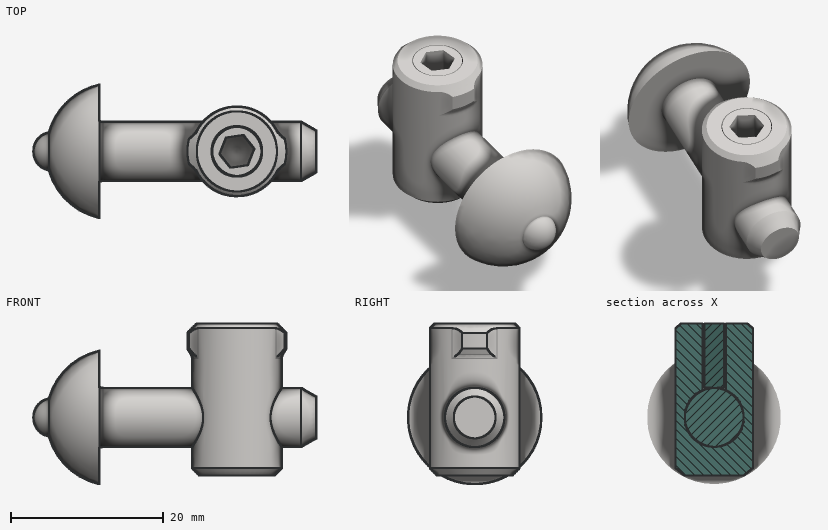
import cadquery as cq
import math


shank_diameter = 7.8
shank_end_x = 10.43
tip_length = 2.0
tip_angle = 30
flare_diameter = 8.0
flare_length = 0.45

head_sphere_radius = 9.0
head_centre_x = -16.05
head_face_x = -18.05

ball_diameter = 5.1
ball_tip_x = -26.75

barrel_diameter = 11.8
barrel_height = 20.0
barrel_top_z = 12.35
barrel_bottom_z = barrel_top_z - barrel_height
barrel_bottom_chamfer = 1.0
barrel_top_radius = 5.27

ear_radius = 6.5
ear_half_width = 1.65
ear_root_angle = 30
ear_lower_z = 9.05
ear_lower_angle = 30
ear_root_fillet = 1.0

screw_hole_diameter = 6.65
screw_diameter = 6.45
screw_bottom_z = shank_diameter / 2
hex_across_flats = 4.0
hex_turn = 8.5
hex_depth = 4.0
hex_point_angle = 120


def turned_about_x(profile):
    return profile.close().revolve(360, (0, 0, 0), (1, 0, 0))


def turned_about_z(profile):
    return profile.close().revolve(360, (0, 0, 0), (0, 1, 0))


def make_shank():
    radius = shank_diameter / 2
    flare_radius = flare_diameter / 2
    tip_radius = radius - tip_length * math.tan(math.radians(tip_angle))
    flare_end_x = head_face_x + flare_length
    return turned_about_x(
        cq.Workplane("XY")
        .moveTo(shank_end_x, 0)
        .lineTo(shank_end_x, tip_radius)
        .lineTo(shank_end_x - tip_length, radius)
        .lineTo(flare_end_x, radius)
        .tangentArcPoint((head_face_x, flare_radius), relative=False)
        .lineTo(head_face_x, 0)
    )


def make_ball():
    radius = ball_diameter / 2
    return turned_about_x(
        cq.Workplane("XY")
        .moveTo(ball_tip_x, 0)
        .threePointArc((ball_tip_x + radius, radius), (ball_tip_x + ball_diameter, 0))
    )


def make_head(ball):
    face_radius = math.sqrt(head_sphere_radius**2 - (head_face_x - head_centre_x) ** 2)
    half_way = head_sphere_radius * math.sqrt(0.5)
    dome = turned_about_x(
        cq.Workplane("XY")
        .moveTo(head_centre_x - head_sphere_radius, 0)
        .threePointArc((head_centre_x - half_way, half_way), (head_face_x, face_radius))
        .lineTo(head_face_x, 0)
    )
    return dome.cut(ball)


def make_ear():
    """The +X ear: an outer arc in plan, joined to the barrel by concave arcs tangent to the barrel."""
    barrel_radius = barrel_diameter / 2
    root_angle = math.radians(ear_root_angle)
    root = (barrel_radius * math.cos(root_angle), barrel_radius * math.sin(root_angle))
    corner = (math.sqrt(ear_radius**2 - ear_half_width**2), ear_half_width)
    barrel_tangent = cq.Vector(math.sin(root_angle), -math.cos(root_angle))
    blend = cq.Edge.makeTangentArc(cq.Vector(*root), barrel_tangent, cq.Vector(*corner))
    blend_middle = blend.positionAt(0.5)
    plan = (
        cq.Workplane("XY")
        .lineTo(*root)
        .threePointArc((blend_middle.x, blend_middle.y), corner)
        .threePointArc((ear_radius, 0), (corner[0], -corner[1]))
        .threePointArc((blend_middle.x, -blend_middle.y), (root[0], -root[1]))
        .close()
    )
    return plan.extrude(barrel_top_z)


def make_ear_envelope():
    """Turned shape that trims the ears: a cone above, a steeper cone with a concave root fillet below."""
    radius = barrel_diameter / 2
    slope = math.radians(ear_lower_angle)
    slope_foot_z = ear_lower_z - (ear_radius - radius) / math.tan(slope)
    tangent_length = ear_root_fillet * math.tan(slope / 2)
    fillet_top = (
        radius + tangent_length * math.sin(slope),
        slope_foot_z + tangent_length * math.cos(slope),
    )
    fillet_bottom_z = slope_foot_z - tangent_length
    return turned_about_z(
        cq.Workplane("XZ")
        .moveTo(0, barrel_top_z)
        .lineTo(barrel_top_radius, barrel_top_z)
        .lineTo(ear_radius, barrel_top_z - (ear_radius - barrel_top_radius))
        .lineTo(ear_radius, ear_lower_z)
        .lineTo(*fillet_top)
        .tangentArcPoint((radius, fillet_bottom_z), relative=False)
        .lineTo(0, fillet_bottom_z)
    )


def make_barrel():
    radius = barrel_diameter / 2
    ear = make_ear()
    opposite_ear = ear.rotate((0, 0, 0), (0, 0, 1), 180)
    ears = ear.union(opposite_ear).intersect(make_ear_envelope())
    body = turned_about_z(
        cq.Workplane("XZ")
        .moveTo(0, barrel_bottom_z)
        .lineTo(radius - barrel_bottom_chamfer, barrel_bottom_z)
        .lineTo(radius, barrel_bottom_z + barrel_bottom_chamfer)
        .lineTo(radius, barrel_top_z - (radius - barrel_top_radius))
        .lineTo(barrel_top_radius, barrel_top_z)
        .lineTo(0, barrel_top_z)
    )
    screw_hole = cq.Workplane("XY").circle(screw_hole_diameter / 2).extrude(barrel_top_z)
    shank_hole = cq.Workplane("YZ").circle(shank_diameter / 2).extrude(barrel_diameter, both=True)
    return body.union(ears).cut(screw_hole).cut(shank_hole)


def make_screw():
    corner_radius = hex_across_flats / math.sqrt(3)
    floor_z = barrel_top_z - hex_depth
    point_z = floor_z - corner_radius / math.tan(math.radians(hex_point_angle / 2))
    blank = (
        cq.Workplane("XY", origin=(0, 0, screw_bottom_z))
        .circle(screw_diameter / 2)
        .extrude(barrel_top_z - screw_bottom_z)
    )
    hexagon = (
        cq.Workplane("XY", origin=(0, 0, point_z))
        .polygon(6, 2 * corner_radius)
        .extrude(barrel_top_z - point_z)
        .rotate((0, 0, 0), (0, 0, 1), hex_turn)
    )
    drilled = turned_about_z(
        cq.Workplane("XZ")
        .moveTo(0, point_z)
        .lineTo(corner_radius, floor_z)
        .lineTo(corner_radius, barrel_top_z)
        .lineTo(0, barrel_top_z)
    )
    return blank.cut(hexagon.intersect(drilled))


shank = make_shank()
ball = make_ball()
head = make_head(ball)
barrel = make_barrel()
screw = make_screw()

result = cq.Compound.makeCompound([shank.val(), head.val(), ball.val(), barrel.val(), screw.val()])